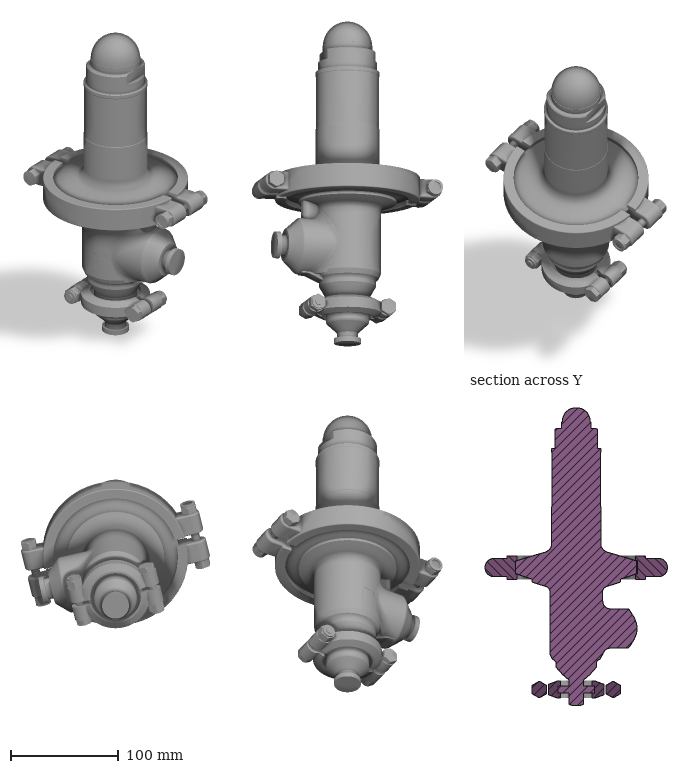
import cadquery as cq
import math

height = 305.0
ferrule_radius = 12.5
ferrule_thickness = 4.5
neck_radius = 9.8
neck_top = 9.8
cap_radius = 40.0 / 2
cap_cone_top = 19.2
cap_rounding = 2.7
seat_radius = 53.0 / 2
seat_bottom = 54.0
seat_top = 57.5
shoulder_radius = 29.0
shoulder_height = 61.3
body_radius = 62.0 / 2
body_bottom = 66.0
body_top = 124.5
skirt_radius = 34.5
skirt_height = 129.0
collar_radius = 45.5
collar_bottom = 133.0
collar_top = 135.7
flange_radius = 119.0 / 2
flange_bottom = 140.5
bonnet_radius = 59.5 / 2
cone_angle = math.radians(18)
bonnet_bottom = 168.0
bonnet_fillet = 7.5
bonnet_top = 202.8
bonnet_chamfer = 0.5
sleeve_radius = 59.0 / 2
bead_bottom = 253.0
bead_top = 257.5
bead_chamfer = 0.5
knob_radius = 54.5 / 2
knob_top = 276.0
knob_chamfer = 1.2
knob_flat_half_width = 23.2
knob_flat_bottom = 266.3
dome_radius = 23.0
dome_base = height - dome_radius
dome_band_radius = 23.2

lower_clamp_middle = 33.2
lower_clamp_half_height = 8.2
lower_flange_radius = 50.5 / 2
lower_flange_half_height = 3.7
lower_joint_top = 42.5

branch_height = 90.0
branch_radius = 26.2
branch_cylinder_end = 48.5
branch_rounding = 2.7
branch_cone_end = 60.5
branch_cone_end_radius = 30.8 / 2
branch_ferrule_end = 70.5
branch_blend = 9.8
blend_bottom = 62.8

rib_end = 44.0
rib_half_thickness = 7.5
rib_rounding = 5.0
web_bend_x = 39.3
web_bend_height = 63.5
web_end = 45.8

mark_depth = 0.3
mark_width = 5.2
mark_bottom = 75.5
mark_top = 92.5
mark_end = 11.0

hex_chamfer = 0.75

upper_clamp_bottom = 135.5
upper_clamp_top = 157.7
upper_clamp_middle = (upper_clamp_bottom + upper_clamp_top) / 2
upper_clamp_radius = 67.5
upper_clamp_opening = 58.0
upper_clamp_rounding = 1.0
upper_gap = 8.0
upper_bolt_x = 76.2
upper_lug_radius = 17.5 / 2
upper_lug_end = 23.5
upper_lug_rounding = 1.5
upper_hex_diameter = 15.5
upper_head_end = 30.8
upper_nut_end = 30.5
upper_nut_collar_end = 32.5
upper_nut_collar_diameter = 14.0
upper_bolt_diameter = 8.0
upper_nut_bore = 9.5
upper_nut_bore_depth = 1.2

lower_clamp_bottom = lower_clamp_middle - lower_clamp_half_height
lower_clamp_radius = 32.0
lower_clamp_rim_radius = lower_flange_radius
lower_clamp_bevel = 3.5
lower_clamp_opening = 23.5
lower_gap = 4.5
lower_bolt_x = 68.5 / 2
lower_lug_radius = 16.0 / 2
lower_lug_end = 16.0
lower_hex_diameter = 16.0
lower_head_end = 21.0
lower_nut_end = 23.5
lower_nut_collar_end = 25.3
lower_nut_collar_diameter = 12.5
lower_bolt_end = 26.5
lower_bolt_diameter = 7.0


def circles_around(x, z):
    """Selector for the circular edges centred on the point (x, 0, z)."""
    margin = 0.15
    low = (x - margin, -margin, z - margin)
    high = (x + margin, margin, z + margin)
    return cq.selectors.BoxSelector(low, high)


def turned_column():
    """Revolve the outline of the valve, from the bottom ferrule to the dome."""
    flange_low = lower_clamp_middle - lower_flange_half_height
    flange_high = lower_clamp_middle + lower_flange_half_height
    cone_radius = bonnet_radius + bonnet_fillet * (1 - math.sin(cone_angle))
    cone_top = bonnet_bottom - bonnet_fillet * math.cos(cone_angle)
    flange_top = cone_top - (flange_radius - cone_radius) * math.tan(cone_angle)
    outline = (
        cq.Workplane("XZ")
        .lineTo(ferrule_radius, 0)
        .lineTo(ferrule_radius, ferrule_thickness)
        .lineTo(neck_radius, ferrule_thickness)
        .lineTo(neck_radius, neck_top)
        .lineTo(cap_radius, cap_cone_top)
        .lineTo(cap_radius, flange_low)
        .lineTo(lower_flange_radius, flange_low)
        .lineTo(lower_flange_radius, flange_high)
        .lineTo(cap_radius, flange_high)
        .lineTo(cap_radius, lower_joint_top)
        .lineTo(seat_radius, seat_bottom)
        .lineTo(seat_radius, seat_top)
        .tangentArcPoint((shoulder_radius, shoulder_height), relative=False)
        .lineTo(body_radius, body_bottom)
        .lineTo(body_radius, body_top)
        .tangentArcPoint((skirt_radius, skirt_height), relative=False)
        .lineTo(collar_radius, collar_bottom)
        .lineTo(collar_radius, collar_top)
        .lineTo(flange_radius, flange_bottom)
        .lineTo(flange_radius, flange_top)
        .lineTo(cone_radius, cone_top)
        .radiusArc((bonnet_radius, bonnet_bottom), bonnet_fillet)
        .lineTo(bonnet_radius, bonnet_top)
        .lineTo(sleeve_radius, bonnet_top + bonnet_chamfer)
        .lineTo(sleeve_radius, bead_bottom)
        .lineTo(bonnet_radius, bead_bottom + bead_chamfer)
        .lineTo(bonnet_radius, bead_top - bead_chamfer)
        .lineTo(bonnet_radius - bead_chamfer, bead_top)
        .lineTo(knob_radius, bead_top)
        .lineTo(knob_radius, knob_top - knob_chamfer)
        .lineTo(knob_radius - knob_chamfer, knob_top)
        .lineTo(dome_band_radius, knob_top)
        .lineTo(dome_band_radius, dome_base)
        .lineTo(dome_radius, dome_base)
        .radiusArc((0, height), -dome_radius)
        .close()
    )
    column = outline.revolve(360, (0, 0, 0), (0, 1, 0))
    return column.edges(circles_around(0, cap_cone_top)).fillet(cap_rounding)


def knob_flat_cutter(side):
    """Block that leaves a wrench flat on one X side of the knob."""
    depth = knob_radius
    middle = side * (knob_flat_half_width + depth / 2)
    return (
        cq.Workplane("XY", origin=(middle, 0, knob_flat_bottom))
        .rect(depth, 2 * knob_radius)
        .extrude(knob_top - knob_flat_bottom)
    )


def blended_branch():
    """Side branch with a fillet where its cylinder meets the valve body."""
    ferrule_start = branch_ferrule_end - ferrule_thickness
    branch = (
        cq.Workplane("XY", origin=(0, 0, branch_height))
        .lineTo(0, branch_radius)
        .lineTo(branch_cylinder_end, branch_radius)
        .lineTo(branch_cone_end, branch_cone_end_radius)
        .lineTo(branch_cone_end, neck_radius)
        .lineTo(ferrule_start, neck_radius)
        .lineTo(ferrule_start, ferrule_radius)
        .lineTo(branch_ferrule_end, ferrule_radius)
        .lineTo(branch_ferrule_end, 0)
        .close()
        .revolve(360, (0, 0, 0), (1, 0, 0))
        .edges(circles_around(branch_cylinder_end, branch_height))
        .fillet(branch_rounding)
    )
    core_bottom = branch_height - 2 * branch_radius
    core = (
        cq.Workplane("XY", origin=(0, 0, core_bottom))
        .circle(body_radius)
        .extrude(4 * branch_radius)
    )
    margin = 0.3
    joint = cq.selectors.BoxSelector(
        (margin, -body_radius, branch_height - branch_radius - margin),
        (body_radius + margin, body_radius, branch_height + branch_radius + margin),
        boundingbox=True,
    )
    blended = core.union(branch).edges(joint).fillet(branch_blend)
    trimmer = (
        cq.Workplane("XY", origin=(0, 0, blend_bottom))
        .rect(2 * branch_ferrule_end, 4 * branch_radius)
        .extrude(4 * branch_radius)
    )
    return blended.cut(core).intersect(trimmer)


def top_rib():
    """Round-ended rib that joins the branch to the collar above it."""
    rib = (
        cq.Workplane("XY", origin=(rib_end / 2, 0, branch_height))
        .rect(rib_end, 2 * rib_half_thickness)
        .extrude(collar_top - branch_height)
    )
    return rib.edges("|Z and >X").fillet(rib_rounding)


def bottom_web():
    """Sloping web that carries the branch on the seat ring."""
    return (
        cq.Workplane("XZ")
        .moveTo(0, seat_top)
        .lineTo(seat_radius, seat_top)
        .lineTo(web_bend_x, web_bend_height)
        .lineTo(web_end, branch_height - branch_radius)
        .lineTo(web_end, branch_height)
        .lineTo(0, branch_height)
        .close()
        .extrude(rib_half_thickness, both=True)
    )


def flow_mark():
    """Bent bar whose depth into the front of the body is that of the engraving."""
    left = -mark_width / 2
    right = mark_width / 2
    bar = (
        cq.Workplane("XZ")
        .moveTo(left, mark_bottom)
        .lineTo(left, mark_top - mark_width)
        .radiusArc((left + mark_width, mark_top), mark_width)
        .lineTo(mark_end, mark_top)
        .lineTo(mark_end, mark_top - mark_width)
        .lineTo(right, mark_top - mark_width)
        .lineTo(right, mark_bottom)
        .close()
        .extrude(2 * body_radius)
    )
    core = cq.Workplane("XY").circle(body_radius - mark_depth).extrude(height)
    return bar.cut(core)


def build_valve():
    valve = turned_column()
    for side in (-1, 1):
        valve = valve.cut(knob_flat_cutter(side))
    for addition in (blended_branch(), top_rib(), bottom_web()):
        valve = valve.union(addition)
    return valve.cut(flow_mark())


def rod(diameter, x, z, y_start, y_end):
    """Round bar parallel to Y."""
    return (
        cq.Workplane("XZ", origin=(x, y_start, z))
        .circle(diameter / 2)
        .extrude(y_start - y_end)
    )


def hexagon(corner_diameter, x, z, y_start, y_end):
    """Hexagonal bar parallel to Y, corners up and down, its y_end rim chamfered."""
    bar = (
        cq.Workplane("XZ", origin=(x, y_start, z))
        .transformed(rotate=(0, 0, 30))
        .polygon(6, corner_diameter)
        .extrude(y_start - y_end)
    )
    trimmer = rod(corner_diameter, x, z, y_start, y_end)
    rim = "<Y" if y_end < y_start else ">Y"
    return bar.intersect(trimmer.faces(rim).chamfer(hex_chamfer))


def both_sides(shape):
    """The shape together with its half-turn copy about Z."""
    return shape.union(shape.rotate((0, 0, 0), (0, 0, 1), 180))


def gap_cutter(gap, reach, bottom, top):
    """Slot along X that parts a clamp into two halves."""
    return cq.Workplane("XY", origin=(0, 0, bottom)).rect(2 * reach, gap).extrude(top - bottom)


def build_upper_clamp(valve):
    x = -upper_bolt_x
    z = upper_clamp_middle
    ring = (
        cq.Workplane("XY", origin=(0, 0, upper_clamp_bottom))
        .circle(upper_clamp_radius)
        .extrude(upper_clamp_top - upper_clamp_bottom)
        .edges()
        .fillet(upper_clamp_rounding)
    )
    opening = (
        cq.Workplane("XY", origin=(0, 0, upper_clamp_bottom))
        .circle(upper_clamp_opening)
        .extrude(upper_clamp_top - upper_clamp_bottom)
    )
    arm_length = upper_bolt_x - upper_clamp_opening
    lugs = None
    for direction in (-1, 1):
        inner = direction * upper_gap / 2
        outer = direction * upper_lug_end
        lug = (
            cq.Workplane("XZ", origin=(x, inner, z))
            .moveTo(0, upper_lug_radius)
            .lineTo(arm_length, upper_lug_radius)
            .lineTo(arm_length, -upper_lug_radius)
            .lineTo(0, -upper_lug_radius)
            .radiusArc((0, upper_lug_radius), upper_lug_radius)
            .close()
            .extrude(inner - outer)
            .faces("|Y")
            .edges()
            .fillet(upper_lug_rounding)
        )
        lugs = lug if lugs is None else lugs.union(lug)
    clamp = (
        ring.union(both_sides(lugs))
        .cut(opening)
        .cut(gap_cutter(upper_gap, upper_clamp_radius, upper_clamp_bottom, upper_clamp_top))
    )
    bore_start = upper_nut_collar_end - upper_nut_bore_depth
    bolt = (
        rod(upper_bolt_diameter, x, z, -upper_lug_end, upper_lug_end)
        .union(hexagon(upper_hex_diameter, x, z, -upper_lug_end, -upper_head_end))
        .union(hexagon(upper_hex_diameter, x, z, upper_lug_end, upper_nut_end))
        .union(rod(upper_nut_collar_diameter, x, z, upper_nut_end, upper_nut_collar_end))
        .cut(rod(upper_nut_bore, x, z, bore_start, upper_nut_collar_end))
    )
    return clamp.union(both_sides(bolt)).cut(valve)


def build_lower_clamp(valve):
    x = -lower_bolt_x
    z = lower_clamp_middle
    top = z + lower_clamp_half_height
    ring = (
        cq.Workplane("XZ")
        .moveTo(0, lower_clamp_bottom)
        .lineTo(lower_clamp_rim_radius, lower_clamp_bottom)
        .lineTo(lower_clamp_radius, lower_clamp_bottom + lower_clamp_bevel)
        .lineTo(lower_clamp_radius, top - lower_clamp_bevel)
        .lineTo(lower_clamp_rim_radius, top)
        .lineTo(0, top)
        .close()
        .revolve(360, (0, 0, 0), (0, 1, 0))
    )
    opening = (
        cq.Workplane("XY", origin=(0, 0, lower_clamp_bottom))
        .circle(lower_clamp_opening)
        .extrude(2 * lower_clamp_half_height)
    )
    lug = rod(2 * lower_lug_radius, x, z, -lower_lug_end, lower_lug_end)
    reach = lower_bolt_x + lower_lug_radius
    clamp = (
        ring.union(both_sides(lug))
        .cut(opening)
        .cut(gap_cutter(lower_gap, reach, lower_clamp_bottom, top))
    )
    bolt = (
        rod(lower_bolt_diameter, x, z, lower_lug_end, -lower_bolt_end)
        .union(hexagon(lower_hex_diameter, x, z, lower_lug_end, lower_head_end))
        .union(hexagon(lower_hex_diameter, x, z, -lower_lug_end, -lower_nut_end))
        .union(rod(lower_nut_collar_diameter, x, z, -lower_nut_end, -lower_nut_collar_end))
    )
    return clamp.union(both_sides(bolt)).cut(valve)


valve = build_valve()
upper_clamp = build_upper_clamp(valve)
lower_clamp = build_lower_clamp(valve)
result = cq.Compound.makeCompound([*valve.vals(), *upper_clamp.vals(), *lower_clamp.vals()])